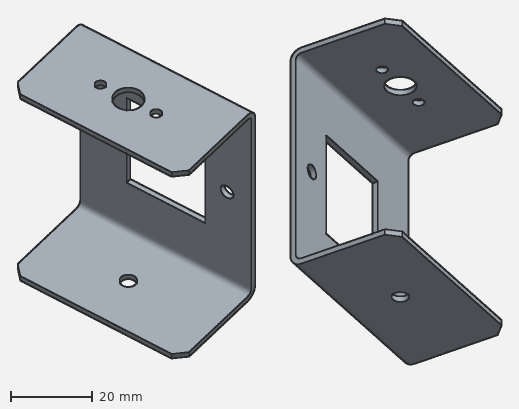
import cadquery as cq

width = 52.3
depth = 30.5
height = 63.9
thickness = 1.6
outer_bend_radius = 3.25
inner_bend_radius = outer_bend_radius - thickness
corner_chamfer = 3.05

window_width = 23.95
window_height = 29.0
mount_hole_diameter = 3.9
mount_hole_spacing = 37.4

flange_axis_x = -0.75
flange_axis_from_back = 16.05
top_hole_diameter = 8.0
bottom_hole_diameter = 4.35
pin_hole_diameter = 2.95
pin_hole_spacing = 17.0

back_y = depth / 2
flange_axis_y = back_y - flange_axis_from_back
top_flange_base_z = height / 2 - thickness
bottom_flange_base_z = -height / 2


def bent_sheet():
    """U-shaped sheet with rounded bends and chamfered free corners."""
    outer = (
        cq.Workplane("XY")
        .box(width, depth, height)
        .edges("|X and >Y")
        .fillet(outer_bend_radius)
    )
    inner = (
        cq.Workplane("XY")
        .box(width, depth, height - 2 * thickness)
        .edges("|X and >Y")
        .fillet(inner_bend_radius)
        .translate((0, -thickness, 0))
    )
    return outer.cut(inner).edges("|Z and <Y").chamfer(corner_chamfer)


def back_openings():
    """Central window and a mounting hole on each side of it."""
    plane = cq.Workplane("XZ", origin=(0, back_y, 0))
    window = plane.rect(window_width, window_height).extrude(thickness)
    holes = (
        plane.pushPoints([(side * mount_hole_spacing / 2, 0) for side in (-1, 1)])
        .circle(mount_hole_diameter / 2)
        .extrude(thickness)
    )
    return window.union(holes)


def flange_hole(diameter, offset_x, base_z):
    """Cutter through one flange, placed relative to the shared hole axis."""
    return (
        cq.Workplane("XY", origin=(flange_axis_x + offset_x, flange_axis_y, base_z))
        .circle(diameter / 2)
        .extrude(thickness)
    )


result = bent_sheet().cut(back_openings())
result = result.cut(flange_hole(top_hole_diameter, 0, top_flange_base_z))
result = result.cut(flange_hole(bottom_hole_diameter, 0, bottom_flange_base_z))
for side in (-1, 1):
    pin_offset_x = side * pin_hole_spacing / 2
    result = result.cut(flange_hole(pin_hole_diameter, pin_offset_x, top_flange_base_z))